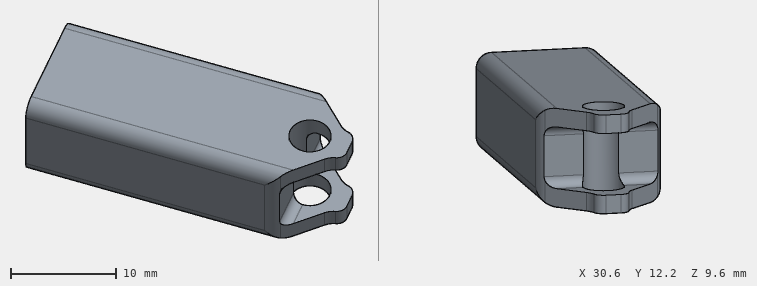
import cadquery as cq
import math

length = 30.57
width = 12.15
height = 9.6
edge_radius = 1.5

shoulder_radius = 2.0
flank_apex_x = 31.12
nose_radius = 1.0
nose_flat = 1.47
neck_radius = 2.0

arm_thickness = 1.8
slot_floor_x = 25.55
slot_radius = 1.0
hole_diameter = 4.0
hole_x = 26.57

half_width = width / 2
diagonal = math.sqrt(0.5)


def plan_outline():
    """Outline in XY, symmetric about the X axis."""
    shoulder_x = flank_apex_x - half_width
    tangent_length = shoulder_radius * math.tan(math.radians(22.5))
    shoulder_start = (shoulder_x - tangent_length, half_width)
    shoulder_end = (shoulder_x + tangent_length * diagonal, half_width - tangent_length * diagonal)
    shoulder_center = (shoulder_start[0], half_width - shoulder_radius)
    shoulder_mid = arc_point(shoulder_center, shoulder_radius, 67.5)

    nose_center = (length - nose_radius, nose_flat / 2)
    center_distance = neck_radius + nose_radius
    flank_offset = (flank_apex_x - sum(nose_center)) * diagonal + neck_radius
    along_flank = math.sqrt(center_distance**2 - flank_offset**2)
    neck_center = (
        nose_center[0] + (flank_offset - along_flank) * diagonal,
        nose_center[1] + (flank_offset + along_flank) * diagonal,
    )
    join_angle = math.degrees(
        math.atan2(neck_center[1] - nose_center[1], neck_center[0] - nose_center[0])
    )
    neck_start = arc_point(neck_center, neck_radius, 225)
    neck_mid = arc_point(neck_center, neck_radius, (225 + join_angle + 180) / 2)
    nose_start = arc_point(nose_center, nose_radius, join_angle)
    nose_mid = arc_point(nose_center, nose_radius, join_angle / 2)
    nose_end = (length, nose_flat / 2)

    return (
        cq.Workplane("XY")
        .moveTo(0, -half_width)
        .lineTo(0, half_width)
        .lineTo(*shoulder_start)
        .threePointArc(shoulder_mid, shoulder_end)
        .lineTo(*neck_start)
        .threePointArc(neck_mid, nose_start)
        .threePointArc(nose_mid, nose_end)
        .lineTo(*mirrored(nose_end))
        .threePointArc(mirrored(nose_mid), mirrored(nose_start))
        .threePointArc(mirrored(neck_mid), mirrored(neck_start))
        .lineTo(*mirrored(shoulder_end))
        .threePointArc(mirrored(shoulder_mid), mirrored(shoulder_start))
        .close()
    )


def arc_point(center, radius, angle):
    """Point on a circle at an angle in degrees."""
    radians = math.radians(angle)
    return (center[0] + radius * math.cos(radians), center[1] + radius * math.sin(radians))


def mirrored(point):
    """Point reflected across the X axis."""
    return (point[0], -point[1])


def rounded_bar():
    return (
        cq.Workplane("XY")
        .box(length, width, height, centered=(False, True, True))
        .edges("|X")
        .fillet(edge_radius)
    )


def fork_slot():
    """Slot across the full width, open at the tip."""
    return (
        cq.Workplane("XY")
        .box(length - slot_floor_x, width, height - 2 * arm_thickness, centered=(False, True, True))
        .edges("<X and |Y")
        .fillet(slot_radius)
        .translate((slot_floor_x, 0, 0))
    )


def cross_hole():
    return (
        cq.Workplane("XY")
        .center(hole_x, 0)
        .circle(hole_diameter / 2)
        .extrude(height / 2, both=True)
    )


pointed_prism = plan_outline().extrude(height / 2, both=True)
result = rounded_bar().intersect(pointed_prism).cut(fork_slot()).cut(cross_hole())